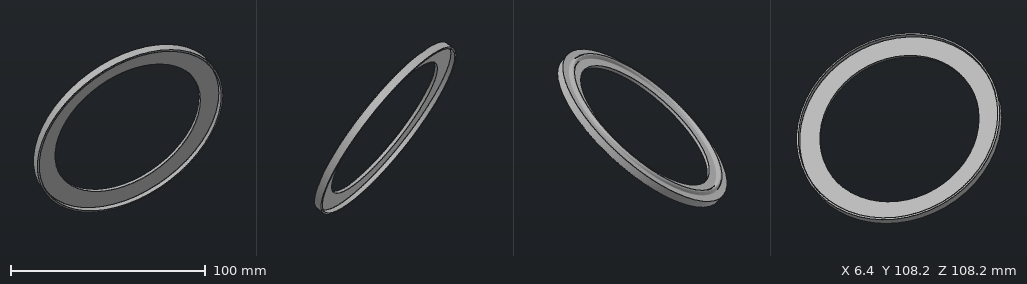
import cadquery as cq

outer_diameter = 108.2
bore_diameter = 84.5
ring_thickness = 4.5

recess_diameter = 106.0
web_thickness = 1.9

bead_outer_diameter = 99.4
bead_inner_diameter = 94.6
bead_height = 1.9
root_fillet = 0.4

outer_radius = outer_diameter / 2
bore_radius = bore_diameter / 2
recess_radius = recess_diameter / 2
bead_outer_radius = bead_outer_diameter / 2
bead_inner_radius = bead_inner_diameter / 2
bead_middle_radius = (bead_outer_radius + bead_inner_radius) / 2
crown_radius = (bead_outer_radius - bead_inner_radius) / 2

back_face = (ring_thickness + bead_height) / 2
front_face = back_face - ring_thickness
recess_floor = front_face + web_thickness
bead_tip = front_face - bead_height
crown_base = bead_tip + crown_radius
fillet_start = front_face - root_fillet


def ring_section():
    """Half section of the recessed ring and its bead: X is axial, Y is radial."""
    inner_root = (front_face, bead_inner_radius - root_fillet)
    inner_wall_end = (fillet_start, bead_inner_radius)
    outer_root = (front_face, bead_outer_radius + root_fillet)
    outer_wall_end = (fillet_start, bead_outer_radius)
    return (
        cq.Workplane("XY")
        .moveTo(recess_floor, bore_radius)
        .lineTo(front_face, bore_radius)
        .lineTo(*inner_root)
        .radiusArc(inner_wall_end, -root_fillet)
        .lineTo(crown_base, bead_inner_radius)
        .threePointArc((bead_tip, bead_middle_radius), (crown_base, bead_outer_radius))
        .lineTo(*outer_wall_end)
        .radiusArc(outer_root, -root_fillet)
        .lineTo(front_face, outer_radius)
        .lineTo(back_face, outer_radius)
        .lineTo(back_face, recess_radius)
        .lineTo(recess_floor, recess_radius)
        .close()
    )


result = ring_section().revolve(360, (0, 0, 0), (1, 0, 0))